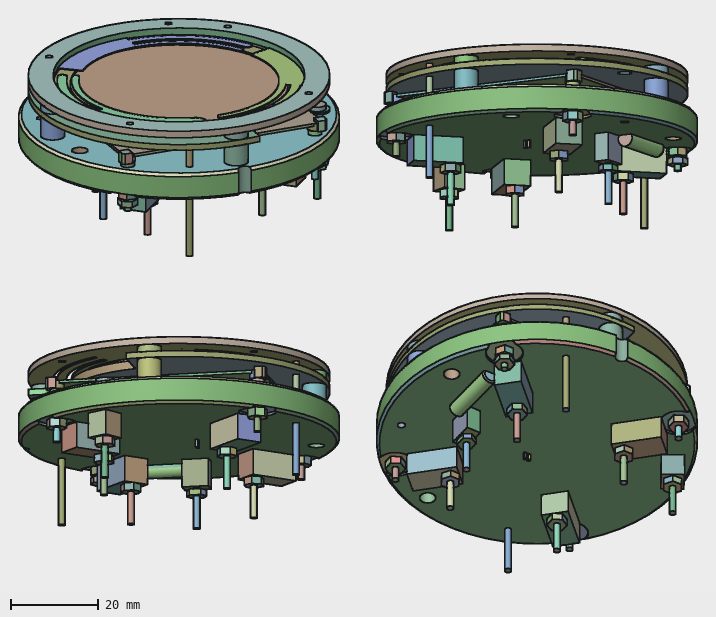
import cadquery as cq
import math

BASE_TOP = 6.5
SQUARE_PLATE_BOTTOM = 8.9
SQUARE_PLATE_TOP = 9.6
CARRIER_BOTTOM = 11.5
CARRIER_TOP = 12.9
POCKET_FLOOR = 13.55
DISC_TOP = 14.0
RING_BOTTOM = 14.6
SPRING_TOP = 14.8
RING_TOP = 16.2

BASE_DIA = 73.7
BASE_CHAMFER = 0.65
NOTCH_DIA = 3.2

RING_DIA = 69.25
DISC_DIA = 57.75
POCKET_DIA = 50.0
CUTOUT_EDGE = 4.85
SPRING_INNER_RADIUS = 23.0
INNER_FINGER_RADII = (SPRING_INNER_RADIUS, 24.7)
OUTER_FINGER_RADII = (25.8, 28.0)
LEAF_ANGLES = ((60, 110, 180), (180, 230, 290), (290, 350, 420))
ROUNDED_LEAF_END = 350
LEAF_CORNER_FILLET = 2.6
FINGER_TIP_OFFSET = 7.6

BOLT_RADIUS = 31.8
SIDE_HOLE_ANGLE = 20
COLUMN_DIA = 5.5
RING_HOLE_DIA = 1.55
PIN_DIA = 1.55
LARGE_HOLE_DIA = 3.7
SMALL_HOLE_DIA = 1.8
CARRIER_HOLE_DIA = 3.2

SQUARE_PLATE_HALF = 25.05
STUD_OFFSET = 23.6
STUD_BOTTOM = -4.65
COLLAR_DIA = 3.2
SHOULDER_DIA = 3.5
SHOULDER_BOTTOM = 7.65
CORNER_BLOCK_OUTER = 25.8
CORNER_BLOCK_SIZE = 2.4
CORNER_BLOCK_TOP = 10.25
CORNER_BLOCK_CHAMFER = 0.6
STUD_NUT_LEVELS = (-1.3, 0.65)
EXTRA_NUT_LEVELS = (-3.25, -1.8)
RECESS_DIA = 8.55

NUT_FLATS = 4.05

TERMINAL_SIZE = (11.7, 6.25)
TERMINAL_OFFSET = 17.0
TERMINAL_PIN_OFFSET = 14.45
TERMINAL_BOTTOM = -6.05
TERMINAL_NUT_BOTTOM = -7.8
TERMINAL_PIN_BOTTOM = -15.4

FRONT_BLOCK_SIZE = (6.2, 3.5)
FRONT_BLOCK_Y = -19.1
FRONT_BLOCK_BOTTOM = -6.5
FRONT_NUT_LEVELS = (-8.5, -7.1)
FRONT_PIN_BOTTOM = -16.05

CLAMP_SIZE = 5.3
CLAMP_TURN = 60
CLAMP_BOTTOM = -5.8
CLAMP_NUT_BOTTOM = -7.6
CLAMP_PIN_BOTTOM = -15.2
WASHER_DIA = 5.8
WASHER_TOP = 6.9
SCREW_HEAD_DIA = 4.05
SCREW_HEAD_TOP = 8.0

UPPER_PIN_RECESS = 0.4
UPPER_PIN_LEVELS = (-12.1, RING_TOP - UPPER_PIN_RECESS)
LOWER_PIN_LEVELS = (-15.6, CARRIER_BOTTOM)

CAPSULE_DIA = 3.7
CAPSULE_ENDS = (1.5, 16.05)
CAPSULE_CAP = 0.4
CAPSULE_Y = -22.7
CAPSULE_Z = -0.9

TAB_X = -4.35
TAB_THICKNESS = 0.6
TAB_WIDTH = 1.6
TAB_SLIT = 0.4
TAB_BOTTOM = -1.7


def polar(radius, angle):
    return (radius * math.cos(math.radians(angle)), radius * math.sin(math.radians(angle)))


def cylinder(dia, bottom, top, place=(0, 0)):
    return cq.Workplane("XY", origin=(*place, bottom)).circle(dia / 2).extrude(top - bottom)


def box(size_x, size_y, bottom, top, place=(0, 0), turn=0):
    block = cq.Workplane("XY").box(size_x, size_y, top - bottom, centered=(True, True, False))
    return block.rotate((0, 0, 0), (0, 0, 1), turn).translate((*place, bottom))


def nut(bottom, top, place, turn=0):
    corners_dia = NUT_FLATS / math.cos(math.pi / 6)
    hexagon = cq.Workplane("XY").polygon(6, corners_dia).extrude(top - bottom)
    return hexagon.rotate((0, 0, 0), (0, 0, 1), turn).translate((*place, bottom))


def sector(inner, outer, start, end, bottom, top):
    """Ring sector running counterclockwise from start to end, in degrees."""
    middle = (start + end) / 2
    return (
        cq.Workplane("XY", origin=(0, 0, bottom))
        .moveTo(*polar(inner, start))
        .lineTo(*polar(outer, start))
        .threePointArc(polar(outer, middle), polar(outer, end))
        .lineTo(*polar(inner, end))
        .threePointArc(polar(inner, middle), polar(inner, start))
        .close()
        .extrude(top - bottom)
    )


def finger(inner, outer, tip, root):
    """Curved spring finger with a rounded free end."""
    width = outer - inner
    middle_radius = (inner + outer) / 2
    tip_centre_angle = tip + math.degrees(width / 2 / middle_radius)
    strip = sector(inner, outer, tip_centre_angle, root, RING_BOTTOM, SPRING_TOP)
    return strip.union(cylinder(width, RING_BOTTOM, SPRING_TOP, polar(middle_radius, tip_centre_angle)))


def make_base():
    base = cylinder(BASE_DIA, 0, BASE_TOP).faces("<Z or >Z").chamfer(BASE_CHAMFER)
    base = base.cut(cylinder(NOTCH_DIA, 0, BASE_TOP, (BASE_DIA / 2, 0)))
    for angle in (180 + SIDE_HOLE_ANGLE, 270 + SIDE_HOLE_ANGLE):
        base = base.cut(cylinder(LARGE_HOLE_DIA, 0, BASE_TOP, polar(BOLT_RADIUS, angle)))
    small_hole_place = polar(BOLT_RADIUS, 270 - SIDE_HOLE_ANGLE)
    base = base.cut(cylinder(SMALL_HOLE_DIA, 0, BASE_TOP, small_hole_place))
    for angle in range(45, 360, 90):
        recess_place = polar(STUD_OFFSET * math.sqrt(2), angle)
        base = base.cut(cylinder(RECESS_DIA, 0, BASE_CHAMFER, recess_place))
    return base


def make_ring():
    ring = cylinder(RING_DIA, RING_BOTTOM, RING_TOP).cut(cylinder(DISC_DIA, RING_BOTTOM, RING_TOP))
    for angle in (45, 135, 180 - SIDE_HOLE_ANGLE, 225, 315):
        ring = ring.cut(cylinder(RING_HOLE_DIA, RING_BOTTOM, RING_TOP, polar(BOLT_RADIUS, angle)))
    return ring


def make_carrier():
    """Carrier plate and its raised disc, cut away over most of the +X +Y quadrant outside the pocket."""
    carrier = cylinder(RING_DIA, CARRIER_BOTTOM, CARRIER_TOP)
    hole_place = polar(BOLT_RADIUS, 270 - SIDE_HOLE_ANGLE)
    carrier = carrier.cut(cylinder(CARRIER_HOLE_DIA, CARRIER_BOTTOM, CARRIER_TOP, hole_place))
    carrier = carrier.union(cylinder(DISC_DIA, CARRIER_TOP, DISC_TOP))
    carrier = carrier.cut(cylinder(POCKET_DIA, POCKET_FLOOR, DISC_TOP))
    cutout_size = RING_DIA / 2
    cutout_centre = CUTOUT_EDGE + cutout_size / 2
    cutout = box(cutout_size, cutout_size, CARRIER_BOTTOM, DISC_TOP, (cutout_centre, cutout_centre))
    return carrier.cut(cutout.cut(cylinder(POCKET_DIA, CARRIER_BOTTOM, DISC_TOP)))


def make_leaf(start, end, root):
    """Thin leaf fixed to the ring bore, with the two fingers that approach its end edge."""
    leaf = sector(SPRING_INNER_RADIUS, DISC_DIA / 2, start, end, RING_BOTTOM, SPRING_TOP)
    if end == ROUNDED_LEAF_END:
        corner = cq.Vector(*polar(SPRING_INNER_RADIUS, end), SPRING_TOP)
        leaf = leaf.edges("|Z").edges(cq.NearestToPointSelector(corner)).fillet(LEAF_CORNER_FILLET)
    tip = end + FINGER_TIP_OFFSET
    leaf = leaf.union(finger(*INNER_FINGER_RADII, tip, root))
    return leaf.union(finger(*OUTER_FINGER_RADII, tip, root))


def make_corner(quadrant):
    """Stud, nut and corner block of the square plate, turned into one quadrant."""
    place = (STUD_OFFSET, STUD_OFFSET)
    stud = cylinder(PIN_DIA, STUD_BOTTOM, BASE_TOP, place)
    stud = stud.union(nut(*STUD_NUT_LEVELS, place))
    stud = stud.union(cylinder(COLLAR_DIA, BASE_TOP, SHOULDER_BOTTOM, place))
    stud = stud.union(cylinder(SHOULDER_DIA, SHOULDER_BOTTOM, SQUARE_PLATE_TOP, place))
    block_centre = CORNER_BLOCK_OUTER - CORNER_BLOCK_SIZE / 2
    block_place = (block_centre, block_centre)
    block = box(CORNER_BLOCK_SIZE, CORNER_BLOCK_SIZE, SHOULDER_BOTTOM, CORNER_BLOCK_TOP, block_place)
    block = block.edges("|Z and >X and >Y").chamfer(CORNER_BLOCK_CHAMFER)
    return stud.union(block).rotate((0, 0, 0), (0, 0, 1), 90 * quadrant)


def make_terminal(quadrant):
    """Radial block with a nut and a pin below it, turned into one quadrant."""
    pin_place = (TERMINAL_PIN_OFFSET, TERMINAL_PIN_OFFSET)
    body = box(*TERMINAL_SIZE, TERMINAL_BOTTOM, 0, (TERMINAL_OFFSET, TERMINAL_OFFSET), 45)
    body = body.union(nut(TERMINAL_NUT_BOTTOM, TERMINAL_BOTTOM, pin_place, 30))
    body = body.union(cylinder(PIN_DIA, TERMINAL_PIN_BOTTOM, TERMINAL_BOTTOM, pin_place))
    return body.rotate((0, 0, 0), (0, 0, 1), 90 * quadrant)


def make_front_block():
    place = (0, FRONT_BLOCK_Y)
    block = box(*FRONT_BLOCK_SIZE, FRONT_BLOCK_BOTTOM, 0, place)
    block = block.union(cylinder(PIN_DIA, FRONT_PIN_BOTTOM, FRONT_BLOCK_BOTTOM, place))
    trim = box(*FRONT_BLOCK_SIZE, *FRONT_NUT_LEVELS, place)
    return block.union(nut(*FRONT_NUT_LEVELS, place).intersect(trim))


def make_clamp():
    place = polar(BOLT_RADIUS, 90 - SIDE_HOLE_ANGLE)
    clamp = box(CLAMP_SIZE, CLAMP_SIZE, CLAMP_BOTTOM, 0, place, CLAMP_TURN)
    clamp = clamp.union(nut(CLAMP_NUT_BOTTOM, CLAMP_BOTTOM, place, 30))
    clamp = clamp.union(cylinder(PIN_DIA, CLAMP_PIN_BOTTOM, CLAMP_BOTTOM, place))
    clamp = clamp.union(cylinder(WASHER_DIA, BASE_TOP, WASHER_TOP, place))
    return clamp.union(cylinder(SCREW_HEAD_DIA, WASHER_TOP, SCREW_HEAD_TOP, place))


def make_capsule():
    start, end = CAPSULE_ENDS
    plane = cq.Workplane("YZ", origin=(start, CAPSULE_Y, CAPSULE_Z))
    return plane.circle(CAPSULE_DIA / 2).extrude(end - start).faces(">X").chamfer(CAPSULE_CAP)


def make_tab():
    tab = box(TAB_THICKNESS, TAB_WIDTH, TAB_BOTTOM, 0, (TAB_X, 0))
    return tab.cut(box(TAB_THICKNESS, TAB_SLIT, TAB_BOTTOM, 0, (TAB_X, 0)))


result = make_base().union(make_ring()).union(make_carrier())
for angle in range(0, 360, 90):
    result = result.union(cylinder(COLUMN_DIA, BASE_TOP, RING_BOTTOM, polar(BOLT_RADIUS, angle)))
for start, end, root in LEAF_ANGLES:
    result = result.union(make_leaf(start, end, root))
square_side = 2 * SQUARE_PLATE_HALF
result = result.union(box(square_side, square_side, SQUARE_PLATE_BOTTOM, SQUARE_PLATE_TOP))
for quadrant in range(4):
    result = result.union(make_corner(quadrant)).union(make_terminal(quadrant))
result = result.union(nut(*EXTRA_NUT_LEVELS, (STUD_OFFSET, -STUD_OFFSET)))
result = result.union(make_front_block()).union(make_clamp())
result = result.union(cylinder(PIN_DIA, *UPPER_PIN_LEVELS, polar(BOLT_RADIUS, 180 - SIDE_HOLE_ANGLE)))
result = result.union(cylinder(PIN_DIA, *LOWER_PIN_LEVELS, polar(BOLT_RADIUS, -SIDE_HOLE_ANGLE)))
result = result.union(make_capsule()).union(make_tab())